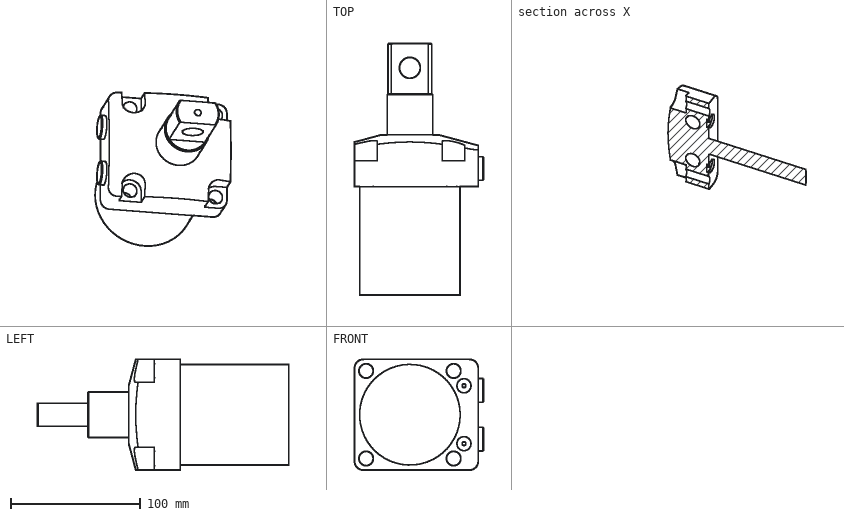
import cadquery as cq
import math

OVERALL_LENGTH = 195.0

BARREL_LENGTH = 84.0
BARREL_DIAMETER = 78.0
FLANGE_HEIGHT = 86.0
FLANGE_DEPTH = 40.2
FLANGE_LEFT = -FLANGE_HEIGHT / 2
FLANGE_RIGHT = 53.0
FLANGE_WIDTH = FLANGE_RIGHT - FLANGE_LEFT
CORNER_RADIUS = 7.0
NOSE_FLAT_RADIUS = 22.2
NOSE_TAPER_ANGLE = 15.0

BOLT_OFFSET = 34.0
BOLT_HOLE_DIAMETER = 11.0
BOLT_SEAT_Y = 20.0
BOLT_SEAT_RADIUS = 8.8

FACE_PORT_X = 42.0
FACE_PORT_Z = 22.5
SEAL_RECESS_DIAMETER = 11.0
SEAL_RECESS_DEPTH = 2.0
FACE_PORT_DIAMETER = 3.0
SIDE_PORT_Y = 14.0
SIDE_PORT_Z = 19.0
SIDE_PORT_DIAMETER = 11.9
SIDE_PORT_DEPTH = 15.0
MIRROR_SIDES = (1, -1)

CAP_DIAMETER = 18.5
CAP_THICKNESS = 4.0
CAP_CHAMFER = 0.8

ROD_RADIUS = 17.7
ROD_TIP_Y = OVERALL_LENGTH - BARREL_LENGTH
SHOULDER_Y = 72.0
SHOULDER_CHAMFER = 1.0
EYE_RADIUS = 17.0
EYE_THICKNESS = 18.1
EYE_TIP_CHAMFER = 0.8
PIN_HOLE_Y = 92.0
PIN_HOLE_DIAMETER = 16.0
SET_SCREW_DIAMETER = 5.0


def cylinder_along_y(x, z, y_start, y_end, diameter):
    """Solid cylinder parallel to Y between two Y positions."""
    circle = cq.Workplane("XZ", origin=(x, y_start, z)).circle(diameter / 2)
    return circle.extrude(y_start - y_end)


def box_between(x_range, y_range, z_range):
    """Box spanning the given (low, high) ranges."""
    sizes = [high - low for low, high in (x_range, y_range, z_range)]
    corner = (x_range[0], y_range[0], z_range[0])
    return cq.Workplane("XY", origin=corner).box(*sizes, centered=False)


def make_nose_envelope():
    """Solid of revolution whose conical front tapers the flange."""
    rim_radius = math.hypot(FLANGE_RIGHT, FLANGE_HEIGHT / 2)
    taper_drop = (rim_radius - NOSE_FLAT_RADIUS) * math.tan(math.radians(NOSE_TAPER_ANGLE))
    profile = (
        cq.Workplane("XY")
        .moveTo(0, 0)
        .lineTo(rim_radius, 0)
        .lineTo(rim_radius, FLANGE_DEPTH - taper_drop)
        .lineTo(NOSE_FLAT_RADIUS, FLANGE_DEPTH)
        .lineTo(0, FLANGE_DEPTH)
        .close()
    )
    return profile.revolve(360, (0, 0, 0), (0, 1, 0))


def make_flange():
    """Rounded block with a conical front face."""
    middle_x = (FLANGE_LEFT + FLANGE_RIGHT) / 2
    block = (
        cq.Workplane("XZ", origin=(middle_x, 0, 0))
        .rect(FLANGE_WIDTH, FLANGE_HEIGHT)
        .extrude(-FLANGE_DEPTH)
        .edges("|Y")
        .fillet(CORNER_RADIUS)
    )
    return block.intersect(make_nose_envelope())


def bolt_seat_cutter(x, side):
    """Round-bottomed clearance for a bolt head, open to the nearest sides of the flange."""
    z = side * BOLT_OFFSET
    seat = cylinder_along_y(x, z, BOLT_SEAT_Y, FLANGE_DEPTH, 2 * BOLT_SEAT_RADIUS)
    y_range = (BOLT_SEAT_Y, FLANGE_DEPTH)
    outer_z = sorted((z, side * FLANGE_HEIGHT / 2))
    seat = seat.union(box_between((x - BOLT_SEAT_RADIUS, x + BOLT_SEAT_RADIUS), y_range, outer_z))
    if x < 0:
        corner_z = sorted((z - side * BOLT_SEAT_RADIUS, side * FLANGE_HEIGHT / 2))
        seat = seat.union(box_between((FLANGE_LEFT, x), y_range, corner_z))
    return seat


def port_cutter(side):
    """Sealed rear port that meets a blind port drilled from the +X face."""
    z = side * FACE_PORT_Z
    recess = cylinder_along_y(FACE_PORT_X, z, 0, SEAL_RECESS_DEPTH, SEAL_RECESS_DIAMETER)
    face_port = cylinder_along_y(FACE_PORT_X, z, 0, SIDE_PORT_Y, FACE_PORT_DIAMETER)
    side_port = (
        cq.Workplane("YZ", origin=(FLANGE_RIGHT, SIDE_PORT_Y, side * SIDE_PORT_Z))
        .circle(SIDE_PORT_DIAMETER / 2)
        .extrude(-SIDE_PORT_DEPTH)
    )
    return recess.union(face_port).union(side_port)


def make_housing():
    """Flange and barrel in one piece, with bolt holes, bolt seats and ports."""
    barrel = cylinder_along_y(0, 0, -BARREL_LENGTH, 0, BARREL_DIAMETER)
    housing = make_flange().union(barrel)
    for side in MIRROR_SIDES:
        for x in (-BOLT_OFFSET, BOLT_OFFSET):
            hole = cylinder_along_y(x, side * BOLT_OFFSET, 0, FLANGE_DEPTH, BOLT_HOLE_DIAMETER)
            housing = housing.cut(hole).cut(bolt_seat_cutter(x, side))
        housing = housing.cut(port_cutter(side))
    return housing


def make_rod():
    """Rod standing on the flange nose, with a flat-sided eye drilled for a pin and a set screw."""
    shank = cylinder_along_y(0, 0, FLANGE_DEPTH, SHOULDER_Y, 2 * ROD_RADIUS)
    shank = shank.faces(">Y").chamfer(SHOULDER_CHAMFER)
    eye = cylinder_along_y(0, 0, SHOULDER_Y, ROD_TIP_Y, 2 * EYE_RADIUS)
    eye = eye.faces(">Y").chamfer(EYE_TIP_CHAMFER)
    flats = box_between(
        (-EYE_RADIUS, EYE_RADIUS),
        (SHOULDER_Y, ROD_TIP_Y),
        (-EYE_THICKNESS / 2, EYE_THICKNESS / 2),
    )
    pin_hole = (
        cq.Workplane("XY", origin=(0, PIN_HOLE_Y, -EYE_THICKNESS / 2))
        .circle(PIN_HOLE_DIAMETER / 2)
        .extrude(EYE_THICKNESS)
    )
    set_screw_hole = cylinder_along_y(0, 0, PIN_HOLE_Y, ROD_TIP_Y, SET_SCREW_DIAMETER)
    return shank.union(eye.intersect(flats)).cut(pin_hole).cut(set_screw_hole)


def make_port_cap(side):
    """Chamfered disc closing one side port."""
    return (
        cq.Workplane("YZ", origin=(FLANGE_RIGHT, SIDE_PORT_Y, side * SIDE_PORT_Z))
        .circle(CAP_DIAMETER / 2)
        .extrude(CAP_THICKNESS)
        .faces(">X")
        .chamfer(CAP_CHAMFER)
    )


housing = make_housing()
rod = make_rod()
port_caps = [make_port_cap(side) for side in MIRROR_SIDES]

result = cq.Compound.makeCompound([housing.val(), rod.val(), *[cap.val() for cap in port_caps]])